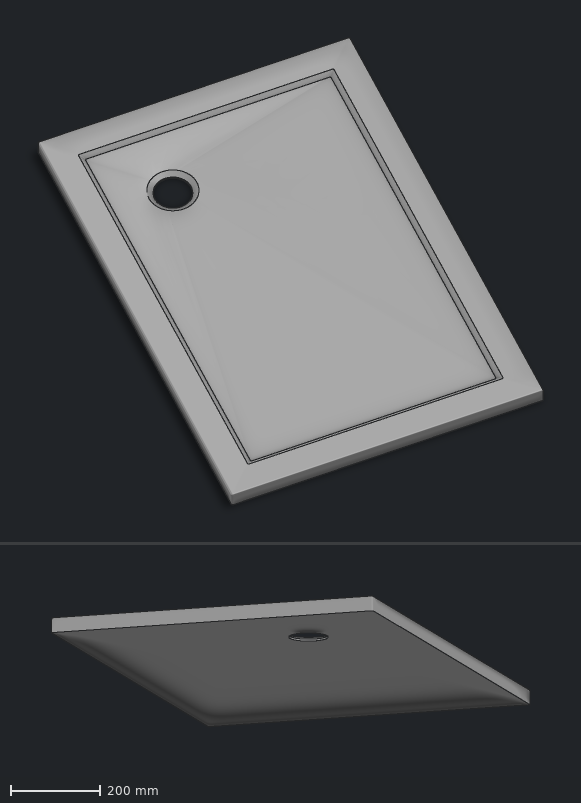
import cadquery as cq
import math

length = 1100.0
width = 760.0
height = 35.0
edge_radius = 4.0

rim_width = 69.0
rim_drop = 2.0
step_width = 12.0
step_drop = 9.0
corner_radius = 3.0
rim_z = height - rim_drop
floor_z = rim_z - step_drop

drain_x = -319.0
drain_y = -150.0
hole_radius = 44.0
seat_radius = 58.0
seat_z = 12.0
lip_height = 4.0

fold_y = -86.0

left_fold_angle = 186
right_fold_angle = 351
corner_spread = 1.0
seat_angles = [35, 145, left_fold_angle, 217, 326, right_fold_angle]


def seat_point(angle):
    a = math.radians(angle)
    return cq.Vector(drain_x + seat_radius * math.cos(a), drain_y + seat_radius * math.sin(a), seat_z)


def rounded_rectangle(inset, z):
    """Rectangle inset from the tray sides, with slightly rounded corners."""
    block = cq.Workplane("XY", origin=(0, 0, z)).rect(length - 2 * inset, width - 2 * inset).extrude(height)
    return block.edges("|Z").fillet(corner_radius).faces("<Z").wires().val()


def sloping_recess(outer_inset, outer_z, inner_inset, inner_z):
    """Four sloping sides, meeting in narrow rounded mitres, between two level rectangles."""
    outer = rounded_rectangle(outer_inset, outer_z)
    inner = rounded_rectangle(inner_inset, inner_z)
    return cq.Workplane(cq.Solid.makeLoft([inner, outer], True))


def floor_outline():
    """Edges round the floor, anticlockwise from the +X, +Y corner."""
    half_x = length / 2 - rim_width - step_width
    half_y = width / 2 - rim_width - step_width

    def corner(side_x, side_y, start_angle):
        center_x = side_x * (half_x - corner_radius)
        center_y = side_y * (half_y - corner_radius)
        angles = [math.radians(start_angle + turn) for turn in (0, 45, 90)]
        return [
            cq.Vector(center_x + corner_radius * math.cos(a), center_y + corner_radius * math.sin(a), floor_z)
            for a in angles
        ]

    fold_left = cq.Vector(-half_x, fold_y, floor_z)
    fold_right = cq.Vector(half_x, fold_y, floor_z)
    back_right = corner(1, 1, 0)
    back_left = corner(-1, 1, 90)
    front_left = corner(-1, -1, 180)
    front_right = corner(1, -1, 270)
    return [
        cq.Edge.makeThreePointArc(*back_right),
        cq.Edge.makeLine(back_right[-1], back_left[0]),
        cq.Edge.makeThreePointArc(*back_left),
        cq.Edge.makeLine(back_left[-1], fold_left),
        cq.Edge.makeLine(fold_left, front_left[0]),
        cq.Edge.makeThreePointArc(*front_left),
        cq.Edge.makeLine(front_left[-1], front_right[0]),
        cq.Edge.makeThreePointArc(*front_right),
        cq.Edge.makeLine(front_right[-1], fold_right),
        cq.Edge.makeLine(fold_right, back_right[0]),
    ]


def seat_outline():
    """Arcs round the drain seat, one for each edge of the floor outline."""
    angles = []
    for angle in seat_angles:
        if angle in (left_fold_angle, right_fold_angle):
            angles.append(angle)
        else:
            angles += [angle - corner_spread / 2, angle + corner_spread / 2]
    next_angles = angles[1:] + [angles[0] + 360]
    return [
        cq.Edge.makeThreePointArc(seat_point(start), seat_point((start + end) / 2), seat_point(end))
        for start, end in zip(angles, next_angles)
    ]


def floor_recess():
    """Solid between the level floor outline and the slopes running to the drain seat."""
    wall_edges = floor_outline()
    seat_edges = seat_outline()
    faces = [cq.Face.makeRuledSurface(wall, seat) for wall, seat in zip(wall_edges, seat_edges)]
    faces.append(cq.Face.makeFromWires(cq.Wire.assembleEdges(wall_edges)))
    faces.append(cq.Face.makeFromWires(cq.Wire.assembleEdges(seat_edges)))
    return cq.Workplane(cq.Solid.makeSolid(cq.Shell.makeShell(faces)))


def drain():
    """Through hole below a conical seat."""
    hole = cq.Workplane("XY").center(drain_x, drain_y).circle(hole_radius).extrude(seat_z)
    seat = cq.Solid.makeCone(
        hole_radius,
        seat_radius,
        seat_z - lip_height,
        pnt=cq.Vector(drain_x, drain_y, lip_height),
    )
    return hole.union(cq.Workplane(seat))


tray = cq.Workplane("XY").box(length, width, height, centered=(True, True, False))
tray = tray.edges("|Z").fillet(edge_radius).faces(">Z").edges().fillet(edge_radius)

tray = tray.cut(sloping_recess(edge_radius, height, rim_width, rim_z))
tray = tray.cut(sloping_recess(rim_width, rim_z, rim_width + step_width, floor_z))
tray = tray.cut(floor_recess())
result = tray.cut(drain())